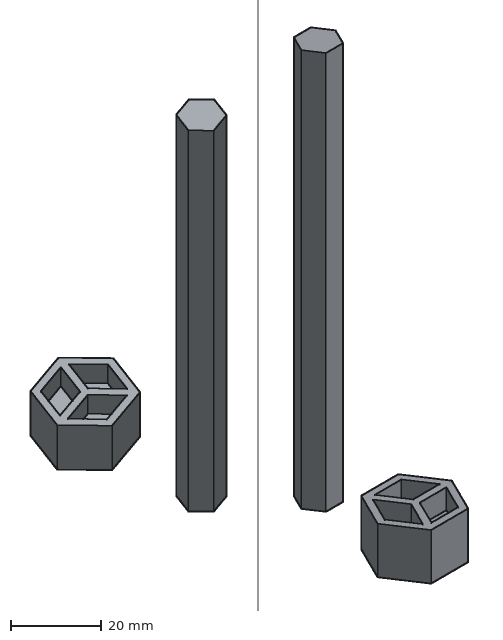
import cadquery as cq
import math

cup_corner_diameter = 24.2
cup_height = 14.0
cell_depth = 6.0
half_wall = 1.0
wall = 2 * half_wall
rod_corner_diameter = 11.2
rod_length = 120.0
rod_offset_x = 31.5
rod_offset_y = -2.9

cell_count = 3
hexagon_turn = 30.0
half_corner_angle = math.radians(60)
wall_inset = wall / math.sin(half_corner_angle)
divider_inset = wall_inset / 2
cell_side = cup_corner_diameter / 2 - wall_inset - divider_inset


def hexagonal_prism(corner_diameter, height):
    """Upright hexagonal prism on Z = 0 with two corners on the Y axis."""
    prism = cq.Workplane("XY").polygon(6, corner_diameter).extrude(height)
    return prism.rotate((0, 0, 0), (0, 0, 1), hexagon_turn)


def make_cell():
    """Rhombic pocket on the +Y side of the cup axis, open at the top."""
    half_width = cell_side * math.sin(half_corner_angle)
    middle_y = divider_inset + cell_side / 2
    outline = [
        (0, divider_inset),
        (half_width, middle_y),
        (0, divider_inset + cell_side),
        (-half_width, middle_y),
    ]
    floor = cq.Workplane("XY").workplane(offset=cup_height - cell_depth)
    return floor.polyline(outline).close().extrude(cell_depth)


def make_cup():
    """Hexagonal cup divided into three equal cells."""
    cup = hexagonal_prism(cup_corner_diameter, cup_height)
    cell = make_cell()
    for index in range(cell_count):
        cup = cup.cut(cell.rotate((0, 0, 0), (0, 0, 1), index * 360 / cell_count))
    return cup


def make_rod():
    """Plain hexagonal rod standing beside the cup."""
    rod = hexagonal_prism(rod_corner_diameter, rod_length)
    return rod.translate((rod_offset_x, rod_offset_y, 0))


cup = make_cup()
rod = make_rod()
result = cq.Compound.makeCompound([cup.val(), rod.val()])